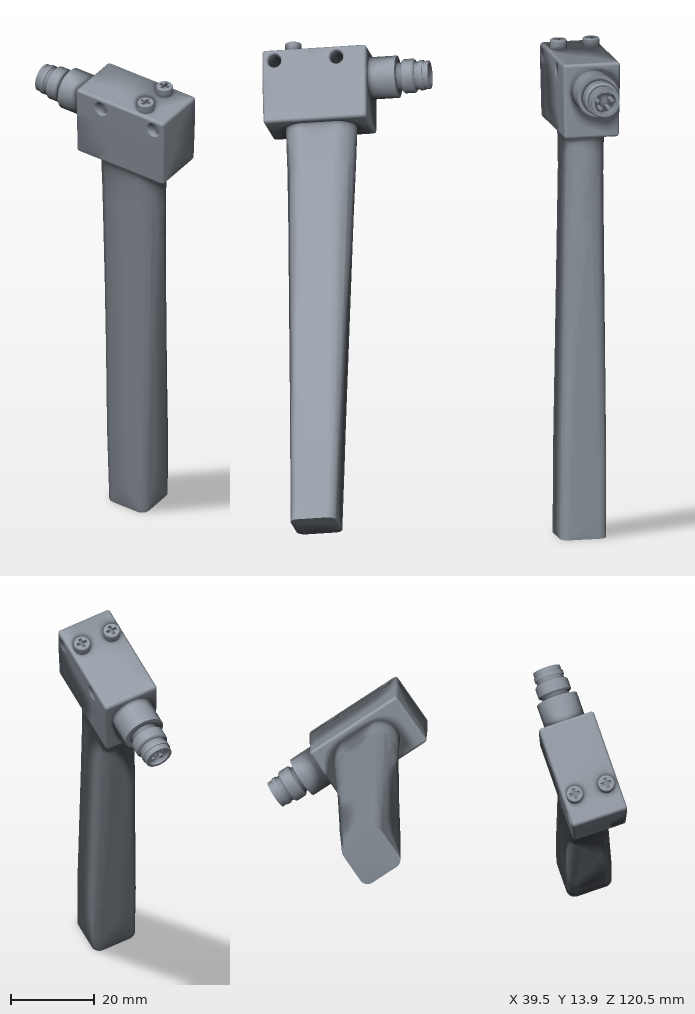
import cadquery as cq
import math


HOUSING_LENGTH = 25.3
HOUSING_WIDTH = 13.9
HOUSING_TOP = 118.3
HOUSING_BOTTOM = 100.1
PARTING_HEIGHT = 111.9
DRAFT_ANGLE = 1.2
EDGE_RADIUS = 0.7

COLLAR_RADIUS = 5.0
COLLAR_LENGTH = 6.5
COLLAR_ROOT_RADIUS = 0.4

HOLE_DIAMETER = 3.3
HOLE_CHAMFER = 0.3
HOLE_DROP = 2.8
HOLE_HEIGHT = HOUSING_TOP - HOLE_DROP
FIRST_HOLE_X = 7.2
HOLE_SPACING = 15.0

SCREW_DIAMETER = 4.0
SCREW_TOP = 120.5
SCREW_EDGE_RADIUS = 0.4
SCREW_X = 18.2
SCREW_SPACING = 8.0
CROSS_LENGTH = 2.6
CROSS_WIDTH = 0.8
CROSS_DEPTH = 1.0

NECK_HEIGHT = 90.1
TIP_HEIGHT = 20.2
OBLONG_END_HALF = 3.0
TIP_CORNER_RADIUS = 2.0
END_EXTENT = (7.8, 18.9, 5.7)
TIP_EXTENT = (7.1, 19.0, 5.5)
NECK_EXTENT = (3.9, 20.4, 4.6)
ROOT_EXTENT = (3.5, 20.7, 4.7)

CONNECTOR_LENGTH = 7.7
BARREL_RADIUS = 3.4
NECK_LENGTH = 1.2
RING_RADIUS = 4.1
RING_END = 4.3
RING_BEVEL = 0.4
RIDGE_START = 5.4
RIDGE_LENGTH = 1.0
RIDGE_HEIGHT = 0.2
SOCKET_RADIUS = 2.6
SOCKET_DEPTH = 3.6
PIN_DIAMETER = 1.0
PIN_LENGTH = 2.8
PIN_CIRCLE_RADIUS = 1.8
PIN_ANGLES = (15, 165, 235, 305)
KEY_WIDTH = 0.7
KEY_HEIGHT = 0.7


def make_block():
    """Housing block whose two sides and far end lean inwards below the parting line."""
    inset = (PARTING_HEIGHT - HOUSING_BOTTOM) * math.tan(math.radians(DRAFT_ANGLE))
    upper = (
        cq.Workplane("XY", origin=(0, 0, PARTING_HEIGHT))
        .rect(HOUSING_LENGTH, HOUSING_WIDTH)
        .extrude(HOUSING_TOP - PARTING_HEIGHT)
    )
    lower = (
        cq.Workplane("XY", origin=(0, 0, PARTING_HEIGHT))
        .rect(HOUSING_LENGTH, HOUSING_WIDTH)
        .workplane(offset=HOUSING_BOTTOM - PARTING_HEIGHT)
        .center(-inset / 2, 0)
        .rect(HOUSING_LENGTH - inset, HOUSING_WIDTH - 2 * inset)
        .loft(ruled=True)
    )
    block = upper.union(lower).translate((HOUSING_LENGTH / 2, 0, 0))
    box_margin = 0.1
    parting_edges = cq.selectors.BoxSelector(
        (-box_margin, -HOUSING_WIDTH, PARTING_HEIGHT - box_margin),
        (HOUSING_LENGTH + box_margin, HOUSING_WIDTH, PARTING_HEIGHT + box_margin),
    )
    outer_edges = cq.selectors.SubtractSelector(cq.selectors.Selector(), parting_edges)
    return block.edges(outer_edges).fillet(EDGE_RADIUS)


def make_collar():
    """Round collar with a small concave root where it leaves the housing."""
    flared = COLLAR_RADIUS + COLLAR_ROOT_RADIUS
    mid_offset = COLLAR_ROOT_RADIUS * (1 - math.sqrt(0.5))
    profile = (
        cq.Workplane("XY")
        .moveTo(EDGE_RADIUS, 0)
        .lineTo(EDGE_RADIUS, flared)
        .lineTo(0, flared)
        .threePointArc((-mid_offset, COLLAR_RADIUS + mid_offset), (-COLLAR_ROOT_RADIUS, COLLAR_RADIUS))
        .lineTo(-COLLAR_LENGTH, COLLAR_RADIUS)
        .lineTo(-COLLAR_LENGTH, 0)
        .close()
    )
    return profile.revolve(360, (0, 0, 0), (1, 0, 0)).translate((0, 0, PARTING_HEIGHT))


def make_screw():
    """Screw head with a cross recess, centred on Z and standing on the housing."""
    height = SCREW_TOP - HOUSING_TOP
    head = cq.Workplane("XY").circle(SCREW_DIAMETER / 2).extrude(height)
    head = head.faces(">Z").edges().fillet(SCREW_EDGE_RADIUS)
    for length, width in ((CROSS_LENGTH, CROSS_WIDTH), (CROSS_WIDTH, CROSS_LENGTH)):
        slot = cq.Workplane("XY", origin=(0, 0, height)).rect(length, width).extrude(-CROSS_DEPTH)
        head = head.cut(slot)
    return head


def shaft_section(height, x_min, x_max, half_width, corner, end_half):
    """Closed outline of two flat sides, four corner arcs and two end curves.

    Corners are arcs of radius `corner`. The end curves carry the same arc on when the
    corner takes up the whole half width (an oblong), and are straight otherwise.
    """
    centre_offset = half_width - corner
    end_inset = corner - math.sqrt(corner**2 - (end_half - centre_offset) ** 2)
    half_turn = math.asin((end_half - centre_offset) / corner)
    mid_angle = (half_turn + math.pi / 2) / 2
    mid_inset = corner * (1 - math.cos(mid_angle))
    mid_y = centre_offset + corner * math.sin(mid_angle)

    outline = cq.Workplane("XY", origin=(0, 0, height)).moveTo(x_min + corner, -half_width)
    for x_end, turn in ((x_max, 1), (x_min, -1)):
        x_flat = x_end - turn * corner
        x_mid = x_end - turn * mid_inset
        x_inner = x_end - turn * end_inset
        outline = outline.lineTo(x_flat, -turn * half_width)
        outline = outline.threePointArc((x_mid, -turn * mid_y), (x_inner, -turn * end_half))
        if end_inset > 0:
            outline = outline.threePointArc((x_end, 0), (x_inner, turn * end_half))
        else:
            outline = outline.lineTo(x_inner, turn * end_half)
        outline = outline.threePointArc((x_mid, turn * mid_y), (x_flat, turn * half_width))
    return outline.close().val()


def oblong_section(height, x_min, x_max, half_width):
    return shaft_section(height, x_min, x_max, half_width, half_width, OBLONG_END_HALF)


def rounded_section(height, x_min, x_max, half_width):
    end_half = half_width - TIP_CORNER_RADIUS
    return shaft_section(height, x_min, x_max, half_width, TIP_CORNER_RADIUS, end_half)


def make_shaft():
    """Tapered shaft hanging from the housing."""
    sections = [
        rounded_section(0, *END_EXTENT),
        rounded_section(TIP_HEIGHT, *TIP_EXTENT),
        oblong_section(NECK_HEIGHT, *NECK_EXTENT),
        oblong_section(HOUSING_BOTTOM, *ROOT_EXTENT),
    ]
    return cq.Workplane(cq.Solid.makeLoft(sections, True))


def make_hole(x):
    """Cutter for one cross hole with a chamfered mouth on both sides."""
    radius = HOLE_DIAMETER / 2
    mouth = radius + HOLE_CHAMFER
    half = HOUSING_WIDTH / 2
    profile = cq.Workplane("XY").polyline([
        (0, -half), (mouth, -half), (radius, HOLE_CHAMFER - half),
        (radius, half - HOLE_CHAMFER), (mouth, half), (0, half),
    ]).close()
    return profile.revolve(360, (0, 0, 0), (0, 1, 0)).translate((x, 0, HOLE_HEIGHT))


def make_housing():
    housing = make_block().union(make_collar()).union(make_shaft())
    for side in (-1, 1):
        screw = make_screw().translate((SCREW_X, side * SCREW_SPACING / 2, HOUSING_TOP))
        housing = housing.union(screw)
    for x in (FIRST_HOLE_X, FIRST_HOLE_X + HOLE_SPACING):
        housing = housing.cut(make_hole(x))
    return housing


def make_connector():
    """Plug with a snap ring, a ridge and an open socket holding contact pins and a key.

    Built along +Z from the collar face, then turned to point along -X.
    """
    ridge_end = RIDGE_START + RIDGE_LENGTH
    ridge_radius = BARREL_RADIUS + RIDGE_HEIGHT
    socket_floor = CONNECTOR_LENGTH - SOCKET_DEPTH
    body = cq.Workplane("XZ").polyline([
        (0, 0),
        (BARREL_RADIUS, 0),
        (BARREL_RADIUS, NECK_LENGTH),
        (RING_RADIUS - RING_BEVEL, NECK_LENGTH),
        (RING_RADIUS, NECK_LENGTH + RING_BEVEL),
        (RING_RADIUS, RING_END - RING_BEVEL),
        (RING_RADIUS - RING_BEVEL, RING_END),
        (BARREL_RADIUS, RING_END),
        (BARREL_RADIUS, RIDGE_START),
        (ridge_radius, RIDGE_START),
        (ridge_radius, ridge_end),
        (BARREL_RADIUS, ridge_end),
        (BARREL_RADIUS, CONNECTOR_LENGTH),
        (SOCKET_RADIUS, CONNECTOR_LENGTH),
        (SOCKET_RADIUS, socket_floor),
        (0, socket_floor),
    ]).close().revolve(360, (0, 0, 0), (0, 1, 0))

    for angle in PIN_ANGLES:
        along_z = PIN_CIRCLE_RADIUS * math.sin(math.radians(angle))
        along_y = PIN_CIRCLE_RADIUS * math.cos(math.radians(angle))
        pin = cq.Workplane("XY", origin=(along_z, along_y, socket_floor)).circle(PIN_DIAMETER / 2)
        body = body.union(pin.extrude(PIN_LENGTH))

    key_centre = (SOCKET_RADIUS + BARREL_RADIUS) / 2 - KEY_HEIGHT / 2
    key = cq.Workplane("XY", origin=(key_centre, 0, socket_floor)).rect(KEY_HEIGHT, KEY_WIDTH)
    body = body.union(key.extrude(PIN_LENGTH))
    return body.rotate((0, 0, 0), (0, 1, 0), -90).translate((-COLLAR_LENGTH, 0, PARTING_HEIGHT))


housing = make_housing()
connector = make_connector()
result = cq.Compound.makeCompound([housing.val(), connector.val()])